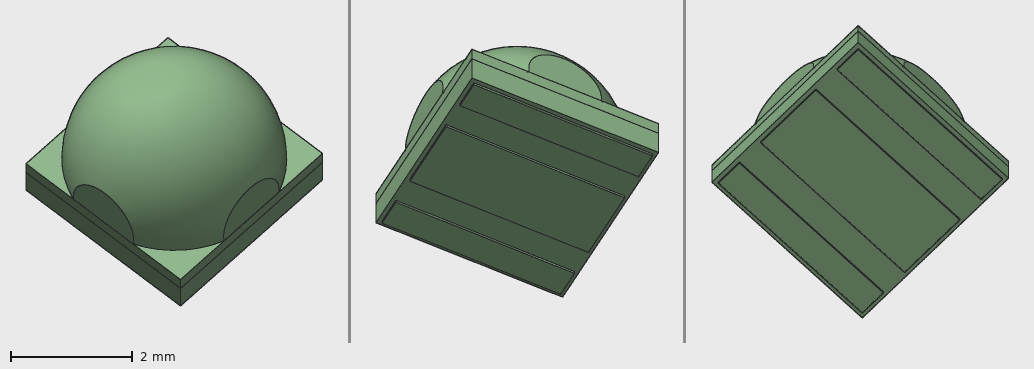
import cadquery as cq

side = 3.45
pad_height = 0.05
substrate_height = 0.5
plate_height = 0.252
dome_radius = 1.85
flat_draft = 3.0
edge_pad_width = 0.5
center_pad_width = 1.3
pad_length = 3.3

plate_bottom = pad_height + substrate_height
plate_top = plate_bottom + plate_height


def make_slab(height, bottom):
    """Square layer covering the whole footprint."""
    return cq.Workplane("XY").workplane(offset=bottom).rect(side, side).extrude(height)


def make_pad(x, width):
    """Solder pad under the substrate, centred at x."""
    return cq.Workplane("XY").center(x, 0).rect(width, pad_length).extrude(pad_height)


def make_dome():
    """Hemispherical lens trimmed by four drafted flats."""
    quarter = (
        cq.Workplane("XZ")
        .lineTo(dome_radius, 0)
        .radiusArc((0, dome_radius), -dome_radius)
        .close()
    )
    hemisphere = quarter.revolve(360, (0, 0, 0), (0, 1, 0))
    envelope = cq.Workplane("XY").rect(side, side).extrude(dome_radius, taper=flat_draft)
    return hemisphere.intersect(envelope).translate((0, 0, plate_top))


substrate = make_slab(substrate_height, pad_height)
plate = make_slab(plate_height, plate_bottom)
dome = make_dome()

edge_pad_x = (pad_length - edge_pad_width) / 2
pad_layout = [
    (-edge_pad_x, edge_pad_width),
    (0, center_pad_width),
    (edge_pad_x, edge_pad_width),
]
pads = [make_pad(x, width) for x, width in pad_layout]

result = cq.Compound.makeCompound(
    [substrate.val(), plate.val(), dome.val(), *[pad.val() for pad in pads]]
)